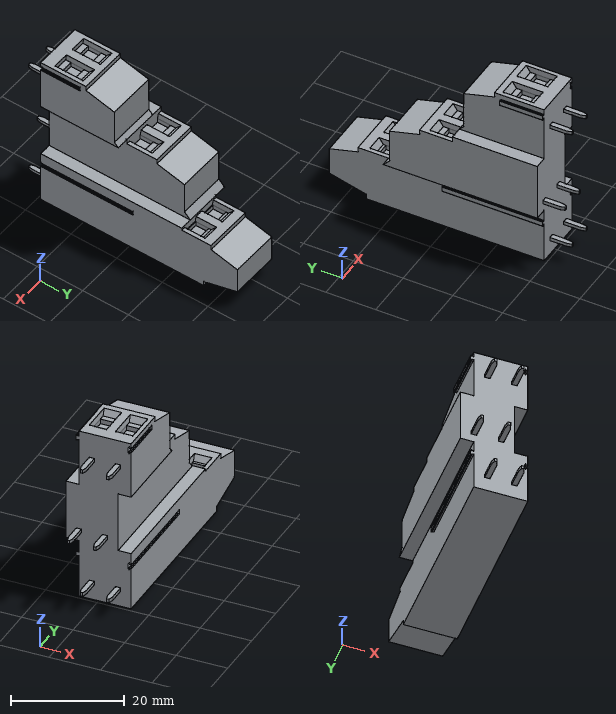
import cadquery as cq
import math


pitch = 5.1
contacts_per_tier = 2
tier_width = contacts_per_tier * pitch
tier_offset = 2.5
total_height = 34.3
overall_length = 47.5
body_length = 43.2
outer_left = tier_offset
middle_left = 0.0

lower_joint = 11.5
upper_joint = 23.25

bottom_lip_y = 35.7
bottom_lip_height = 1.0
nose_low = 2.9

bottom_top, bottom_front, bottom_flat = 11.0, body_length, 37.4
middle_top, middle_front, middle_flat = 22.2, 29.7, 23.65
top_top, top_front, top_flat = total_height, 16.2, 9.98
roof_step = 1.0
roof_slope = math.tan(math.radians(15))
middle_foot = 1.3
top_foot = 0.85

pocket_width = 3.35
funnel_depth = 1.0
funnel_run = funnel_depth
side_lean = math.radians(15)
floor_width = pocket_width - 2 * funnel_depth * math.tan(side_lean)
slot_length = 2.85
slot_depth = 0.95
top_pocket_front, top_pocket_back, top_shelf = 8.75, 2.55, 1.15
middle_pocket_front, middle_shelf = 22.05, 1.15
bottom_pocket_front, bottom_shelf = 35.5, 0.5

pin_width = 1.0
pin_thickness = 0.7
pin_length = overall_length - body_length
pin_tip_length = 0.9
pin_tip_width = 0.48
top_pin_z, middle_pin_z, bottom_pin_z = 29.0, 13.7, 3.5

rail_depth = 0.55
rail_neck_length = 0.3
rail_neck = 0.85
rail_face = 0.95
rail_crest = 1.15
groove_crest = 1.42
top_rail_z, top_rail_length = 32.8, 8.65
bottom_rail_z, bottom_rail_length = 8.75, 20.25


def side_profile(points, left):
    """Extrude a (y, z) outline across one tier width, starting at X = left."""
    return cq.Workplane("YZ", origin=(left, 0, 0)).polyline(points).close().extrude(tier_width)


def roof_points(front, flat, top):
    """Outline from the front wall up the sloping roof to the back of the flat top."""
    eave = top - roof_step
    return [(front, eave - roof_slope * (front - flat)), (flat, eave), (flat, top)]


def bottom_tier():
    back = middle_front + middle_foot
    points = [(0, 0), (bottom_lip_y, 0), (bottom_lip_y, bottom_lip_height), (bottom_front, nose_low)]
    points += roof_points(bottom_front, bottom_flat, bottom_top)
    points += [(back, bottom_top), (back, lower_joint), (0, lower_joint)]
    return side_profile(points, outer_left)


def middle_tier():
    foot = middle_front + middle_foot
    back = top_front + top_foot
    points = [(0, lower_joint), (foot, lower_joint), (middle_front, lower_joint + middle_foot)]
    points += roof_points(middle_front, middle_flat, middle_top)
    points += [(back, middle_top), (back, upper_joint), (0, upper_joint)]
    return side_profile(points, middle_left)


def top_tier():
    foot = top_front + top_foot
    points = [(0, upper_joint), (foot, upper_joint), (top_front, upper_joint + top_foot)]
    points += roof_points(top_front, top_flat, top_top)
    points += [(0, top_top)]
    return side_profile(points, outer_left)


def contact_centres(left):
    return [left + (i + 0.5) * pitch for i in range(contacts_per_tier)]


def pocket(x, top, front, back, shelf):
    """Funnel with a plumb back wall, and a slot one shelf behind the funnel's foot."""
    foot = front - funnel_run
    shelf_z = top - funnel_depth
    funnel = (
        cq.Workplane("XY", origin=(x, 0, top))
        .center(0, (front + back) / 2)
        .rect(pocket_width, front - back)
        .workplane(offset=-funnel_depth)
        .center(0, -funnel_run / 2)
        .rect(floor_width, foot - back)
        .loft(ruled=True)
    )
    slot = cq.Workplane("XY").box(floor_width, slot_length, slot_depth, centered=(True, False, False))
    return funnel.union(slot.translate((x, foot - shelf - slot_length, shelf_z - slot_depth)))


def pin(x, z):
    """Flat pin pointing to -Y, tapered in width at its tip."""
    shoulder = -(pin_length - pin_tip_length)
    half, tip = pin_width / 2, pin_tip_width / 2
    right = [(half, 0), (half, shoulder), (tip, -pin_length)]
    left = [(-x, y) for x, y in reversed(right)]
    blade = cq.Workplane("XY").polyline(right + left).close().extrude(pin_thickness)
    return blade.translate((x, 0, z - pin_thickness / 2))


def rail(face_x, z, length, crest):
    """Bar rooted on X = face_x that points to -X and swells to a crest inside its head."""
    neck, peak, face = rail_neck / 2, crest / 2, rail_face / 2
    crest_x = -(rail_neck_length + rail_depth) / 2
    upper = [(0, neck), (-rail_neck_length, neck), (crest_x, peak), (-rail_depth, face)]
    lower = [(x, -y) for x, y in reversed(upper)]
    bar = cq.Workplane("XZ").polyline(upper + lower).close().extrude(-length)
    return bar.translate((face_x, 0, z))


result = bottom_tier().union(middle_tier()).union(top_tier())

for left, top, front, back, shelf in (
    (outer_left, top_top, top_pocket_front, top_pocket_back, top_shelf),
    (middle_left, middle_top, middle_pocket_front, top_front + top_foot, middle_shelf),
    (outer_left, bottom_top, bottom_pocket_front, middle_front + middle_foot, bottom_shelf),
):
    for x in contact_centres(left):
        result = result.cut(pocket(x, top, front, back, shelf))

for left, z in ((outer_left, top_pin_z), (middle_left, middle_pin_z), (outer_left, bottom_pin_z)):
    for x in contact_centres(left):
        result = result.union(pin(x, z))

for z, length in ((top_rail_z, top_rail_length), (bottom_rail_z, bottom_rail_length)):
    result = result.union(rail(outer_left, z, length, rail_crest))
    result = result.cut(rail(outer_left + tier_width, z, length, groove_crest))